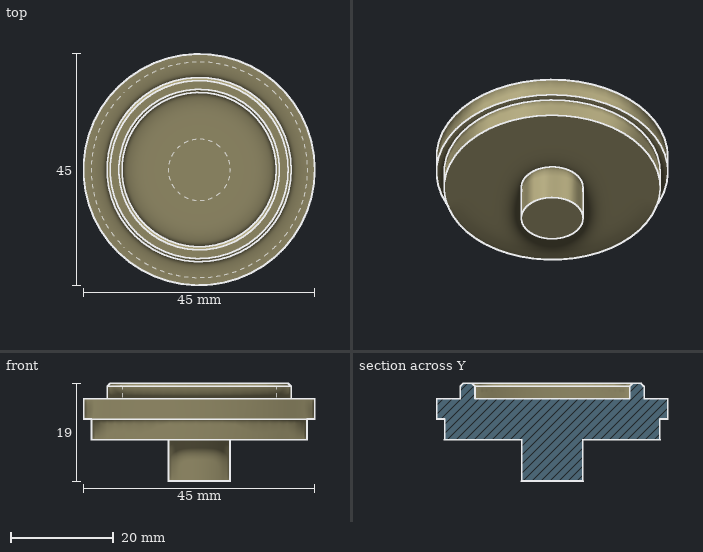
import cadquery as cq

stem_diameter = 12.0
stem_height = 8.0

lower_disc_diameter = 42.0
lower_disc_height = 4.0
flange_diameter = 45.0
flange_height = 4.0

rim_diameter = 35.8
rim_height = 3.0
rim_chamfer = 0.6
pocket_diameter = 30.0
pocket_depth = 3.0
pocket_chamfer = 0.6

disc_bottom = stem_height
flange_bottom = disc_bottom + lower_disc_height
flange_top = flange_bottom + flange_height
rim_top = flange_top + rim_height


def cylinder(diameter, bottom, height):
    """Upright cylinder on the Z axis."""
    return cq.Workplane("XY").workplane(offset=bottom).circle(diameter / 2).extrude(height)


def rim():
    """Boss with a chamfered top edge."""
    return cylinder(rim_diameter, flange_top, rim_height).faces(">Z").chamfer(rim_chamfer)


def pocket():
    """Cutter for the pocket, flared at its mouth by the inner chamfer."""
    bore = cylinder(pocket_diameter, rim_top - pocket_depth, pocket_depth)
    mouth = (
        cq.Workplane("XY")
        .workplane(offset=rim_top - pocket_chamfer)
        .circle(pocket_diameter / 2)
        .workplane(offset=pocket_chamfer)
        .circle(pocket_diameter / 2 + pocket_chamfer)
        .loft()
    )
    return bore.union(mouth)


result = (
    cylinder(stem_diameter, 0, stem_height)
    .union(cylinder(lower_disc_diameter, disc_bottom, lower_disc_height))
    .union(cylinder(flange_diameter, flange_bottom, flange_height))
    .union(rim())
    .cut(pocket())
)